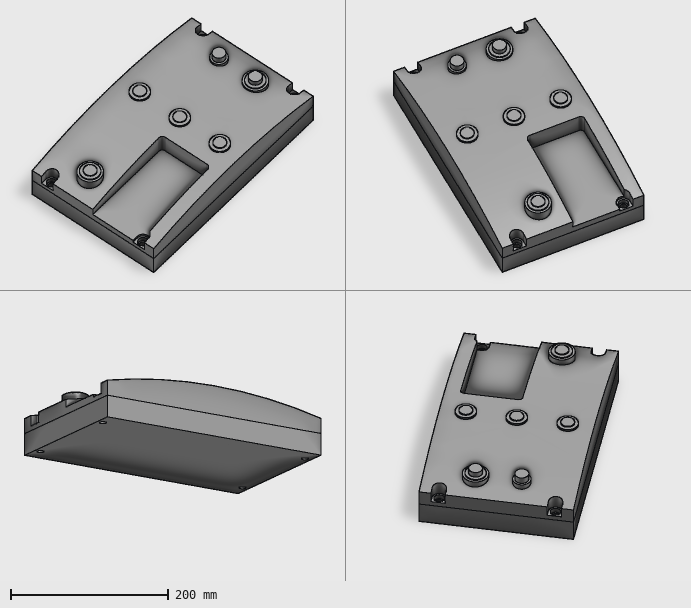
import cadquery as cq

WIDTH = 200.0
LENGTH = 320.0
BASE_HEIGHT = 28.8
EDGE_HEIGHT = 49.0
CROWN_HEIGHT = 67.0
TOTAL_HEIGHT = 70.0

SCREW_X = 75.2
SCREW_Y = 151.5
RECESS_RADIUS = 9.3
RECESS_FLOOR = 35.2
COVER_HOLE_DIAMETER = 13.5
BASE_HOLE_DIAMETER = 9.0

POCKET_LENGTH = 138.2
POCKET_WIDTH = 80.3
POCKET_LEFT = -0.3
POCKET_FLOOR = 38.7
POCKET_CORNER_RADIUS = 5.5

CAP_DIAMETER = 18.0
FLANGE_DIAMETER = 27.5
BOSS_DIAMETER = 34.0
SMALL_BOSS_DIAMETER = 23.7
FLANGE_HEIGHT = 1.5
END_CONTROL_Y = 125.5
BIG_BOSS_X = 33.0
SMALL_BOSS_X = -27.0
FRONT_BOSS_TOP = CROWN_HEIGHT
REAR_BOSS_TOP = 61.0

BUTTON_SPACING = 66.0
BUTTON_Y = 14.0
BUTTON_SEAT = 65.5
BUTTON_FLANGE_TOP = CROWN_HEIGHT + FLANGE_HEIGHT

SCREW_POINTS = [(x, y) for x in (-SCREW_X, SCREW_X) for y in (-SCREW_Y, SCREW_Y)]
BUTTON_POINTS = [(column * BUTTON_SPACING, BUTTON_Y) for column in (-1, 0, 1)]


def disc(x, y, diameter, bottom, top):
    """Upright cylinder between two heights."""
    return cq.Workplane("XY", origin=(x, y, bottom)).circle(diameter / 2).extrude(top - bottom)


def make_base():
    """Plain block with four through holes for the screws."""
    base = cq.Workplane("XY").box(WIDTH, LENGTH, BASE_HEIGHT, centered=(True, True, False))
    for x, y in SCREW_POINTS:
        base = base.cut(disc(x, y, BASE_HOLE_DIAMETER, 0, BASE_HEIGHT))
    return base


def make_domed_block():
    """Cover blank whose top is one arc from the front end to the rear end."""
    return (
        cq.Workplane("YZ", origin=(-WIDTH / 2, 0, 0))
        .moveTo(-LENGTH / 2, BASE_HEIGHT)
        .lineTo(-LENGTH / 2, EDGE_HEIGHT)
        .threePointArc((0, CROWN_HEIGHT), (LENGTH / 2, EDGE_HEIGHT))
        .lineTo(LENGTH / 2, BASE_HEIGHT)
        .close()
        .extrude(WIDTH)
    )


def make_pocket():
    """Flat-floored pocket mostly in the +X half, open at the front end and the top."""
    pocket = cq.Workplane("XY", origin=(POCKET_LEFT, -LENGTH / 2, POCKET_FLOOR)).box(
        POCKET_WIDTH, POCKET_LENGTH, TOTAL_HEIGHT - POCKET_FLOOR, centered=False
    )
    return pocket.edges("|Z and >Y").fillet(POCKET_CORNER_RADIUS)


def make_screw_recess(x, y):
    """Round-ended recess open to the nearest end, with a clearance hole in its floor."""
    end_y = LENGTH / 2 if y > 0 else -LENGTH / 2
    recess_height = TOTAL_HEIGHT - RECESS_FLOOR
    round_end = disc(x, y, 2 * RECESS_RADIUS, RECESS_FLOOR, TOTAL_HEIGHT)
    mouth = cq.Workplane("XY", origin=(x, (y + end_y) / 2, RECESS_FLOOR)).box(
        2 * RECESS_RADIUS, abs(end_y - y), recess_height, centered=(True, True, False)
    )
    hole = disc(x, y, COVER_HOLE_DIAMETER, BASE_HEIGHT, RECESS_FLOOR)
    return round_end.union(mouth).union(hole)


def make_boss(x, y, diameter, boss_top):
    """Boss standing on the dome, carrying a cap that reaches the full height."""
    boss = disc(x, y, diameter, BASE_HEIGHT, boss_top)
    return boss.union(disc(x, y, CAP_DIAMETER, boss_top, TOTAL_HEIGHT))


def make_flanged_boss(x, y, boss_top):
    """Large boss with a thin flange around the foot of its cap."""
    flange = disc(x, y, FLANGE_DIAMETER, boss_top, boss_top + FLANGE_HEIGHT)
    return make_boss(x, y, BOSS_DIAMETER, boss_top).union(flange)


def make_cover():
    """Domed cover with its bosses, pocket, screw recesses and button seats."""
    cover = make_domed_block()
    cover = cover.union(make_flanged_boss(-BIG_BOSS_X, -END_CONTROL_Y, FRONT_BOSS_TOP))
    cover = cover.union(make_flanged_boss(BIG_BOSS_X, END_CONTROL_Y, REAR_BOSS_TOP))
    cover = cover.union(make_boss(SMALL_BOSS_X, END_CONTROL_Y, SMALL_BOSS_DIAMETER, REAR_BOSS_TOP))
    cover = cover.cut(make_pocket())
    for x, y in SCREW_POINTS:
        cover = cover.cut(make_screw_recess(x, y))
    for x, y in BUTTON_POINTS:
        cover = cover.cut(disc(x, y, FLANGE_DIAMETER, BUTTON_SEAT, TOTAL_HEIGHT))
    return cover


def make_button(x, y):
    """Flanged button resting in a shallow flat seat of the cover."""
    flange = disc(x, y, FLANGE_DIAMETER, BUTTON_SEAT, BUTTON_FLANGE_TOP)
    return flange.union(disc(x, y, CAP_DIAMETER, BUTTON_FLANGE_TOP, TOTAL_HEIGHT))


base = make_base()
cover = make_cover()
buttons = [make_button(x, y) for x, y in BUTTON_POINTS]

result = cq.Compound.makeCompound([base.val(), cover.val(), *[button.val() for button in buttons]])